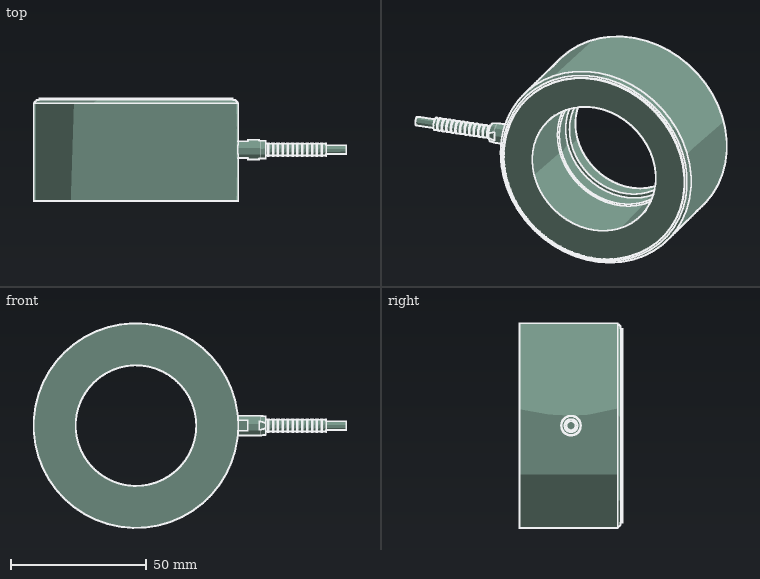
import cadquery as cq

overall_length = 115.6
through_all = overall_length

housing_diameter = 75.7
housing_width = 38.1
bore_diameters = (44.5, 47.5, 49.0)
bore_step_depths = (6.1, 12.6)
raised_face_diameter = 71.7
raised_face_height = 0.7
back_chamfer = 1.2

housing_radius = housing_diameter / 2
front_y = -housing_width / 2
back_y = housing_width / 2

gland_diameter = 7.4
gland_start = 37.0
gland_end = 48.0
wrench_flat_end = 41.4
wrench_flat_gap = 6.2
nose_flat_start = 45.5
nose_flat_gap = 6.7
taper_start = 46.0
nose_diameter = 6.9

boot_diameter = 4.9
boot_start = 46.5
boot_end = 70.3
groove_count = 13
groove_start = 47.3
groove_depth = 0.2
land_width = 0.4
cable_diameter = 3.4
cable_end = overall_length - housing_radius

boot_radius = boot_diameter / 2
groove_pitch = (boot_end - groove_start + land_width) / groove_count
groove_width = groove_pitch - land_width


def rod(diameter, start, end):
    """Cylinder on the cable axis."""
    return cq.Workplane("YZ", origin=(start, 0, 0)).circle(diameter / 2).extrude(end - start)


def turned_on_cable_axis(profile):
    """Revolve a profile in the XZ plane about the X axis."""
    return profile.close().revolve(360, (0, 0, 0), (1, 0, 0))


def cut_flats(body, start, end, gap):
    """Cut a pair of parallel flats, facing -Y and +Y, between two places along X."""
    envelope = cq.Workplane("XY").box(end - start, through_all, through_all)
    core = cq.Workplane("XY").box(end - start, gap, through_all)
    return body.cut(envelope.cut(core).translate(((start + end) / 2, 0, 0)))


def make_housing():
    shoulder_y = back_y - raised_face_height
    front_bore, middle_bore, back_bore = (diameter / 2 for diameter in bore_diameters)
    first_step_y, second_step_y = (front_y + depth for depth in bore_step_depths)
    section = [
        (front_bore, front_y),
        (housing_radius, front_y),
        (housing_radius, shoulder_y - back_chamfer),
        (housing_radius - back_chamfer, shoulder_y),
        (raised_face_diameter / 2, shoulder_y),
        (raised_face_diameter / 2, back_y),
        (back_bore, back_y),
        (back_bore, second_step_y),
        (middle_bore, second_step_y),
        (middle_bore, first_step_y),
        (front_bore, first_step_y),
    ]
    return cq.Workplane("XY").polyline(section).close().revolve(360, (0, 0, 0), (0, 1, 0))


def make_gland():
    profile = (
        cq.Workplane("XZ")
        .moveTo(gland_start, 0)
        .lineTo(gland_start, gland_diameter / 2)
        .lineTo(taper_start, gland_diameter / 2)
        .lineTo(gland_end, nose_diameter / 2)
        .lineTo(gland_end, 0)
    )
    body = turned_on_cable_axis(profile)
    body = cut_flats(body, gland_start, wrench_flat_end, wrench_flat_gap)
    body = cut_flats(body, nose_flat_start, gland_end, nose_flat_gap)
    boot_socket = rod(boot_diameter, boot_start, gland_end)
    return body.cut(boot_socket)


def make_cable():
    profile = cq.Workplane("XZ").moveTo(boot_start, 0).lineTo(boot_start, boot_radius)
    for i in range(groove_count):
        start = groove_start + i * groove_pitch
        profile = profile.lineTo(start, boot_radius).threePointArc(
            (start + groove_width / 2, boot_radius - groove_depth),
            (start + groove_width, boot_radius),
        )
    profile = (
        profile.lineTo(boot_end, cable_diameter / 2)
        .lineTo(cable_end, cable_diameter / 2)
        .lineTo(cable_end, 0)
    )
    return turned_on_cable_axis(profile)


gland = make_gland()
housing = make_housing().cut(gland)
cable = make_cable()

result = cq.Compound.makeCompound([housing.solids().val(), gland.solids().val(), cable.solids().val()])